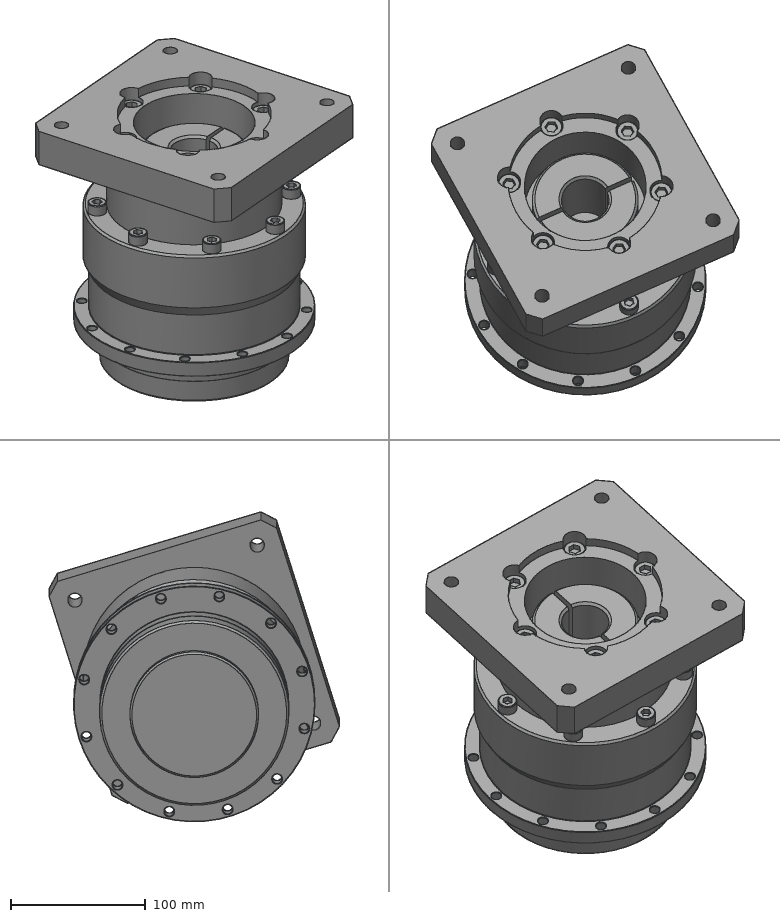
import cadquery as cq

total_height = 211.0
plate_thickness = 28.0
plate_bottom = total_height - plate_thickness
body_top = 135.7
body_bottom = 92.0
sleeve_top = 83.8
flange_top = 49.8
flange_bottom = 38.0
pilot_joint = 23.5
pilot_bottom = 6.0

neck_diameter = 130.0
body_diameter = 165.0
sleeve_diameter = 156.5
flange_diameter = 179.0
pilot_upper_diameter = 139.9
pilot_lower_diameter = 140.3
output_diameter = 95.4
body_chamfer = 1.7
pilot_chamfer = 1.7
output_chamfer = 1.5
flange_edge_chamfer = 0.5
flange_root_height = 0.6
flange_root_width = 0.2

plate_width = 176.5
plate_corner_chamfer = 9.3
plate_hole_spacing = 141.4
plate_hole_diameter = 10.5

recess_diameter = 114.2
recess_depth = 7.4
bore_diameter = 90.0
hub_diameter = 78.5
hub_top = 182.7
hub_chamfer = 2.0
hub_gap_floor = 164.5
shaft_hole_diameter = 35.0
shaft_hole_chamfer = 2.0
shaft_hole_floor = 126.5
clamp_slot_width = 3.2
clamp_slot_floor = 147.7

plate_screw_count = 6
plate_screw_circle = 113.0
counterbore_diameter = 17.0
counterbore_floor = 192.0
plate_screw_head_top = 201.0
plate_screw_head_diameter = 16.5
plate_screw_socket = 9.3
plate_screw_socket_depth = 4.2
plate_screw_socket_turn = 0

body_screw_count = 8
body_screw_circle = 146.2
body_screw_head_diameter = 14.0
body_screw_head_height = 8.2
body_screw_socket = 7.4
body_screw_socket_depth = 4.2
body_screw_socket_turn = 45

head_chamfer = 0.6
hexagon_sides = 6

flange_hole_count = 12
flange_hole_circle = 167.3
flange_hole_diameter = 7.2


def disc(diameter, bottom, top):
    """Vertical cylinder on the main axis."""
    return cq.Workplane("XY").workplane(offset=bottom).circle(diameter / 2).extrude(top - bottom)


def cone(bottom_diameter, top_diameter, bottom, top):
    """Truncated cone on the main axis."""
    return (
        cq.Workplane("XY")
        .workplane(offset=bottom)
        .circle(bottom_diameter / 2)
        .workplane(offset=top - bottom)
        .circle(top_diameter / 2)
        .loft()
    )


def cylinder_ring(circle_diameter, count, diameter, bottom, top):
    """Equally spaced vertical cylinders, the first one on +X."""
    return (
        cq.Workplane("XY")
        .workplane(offset=bottom)
        .polarArray(circle_diameter / 2, 0, 360, count)
        .circle(diameter / 2)
        .extrude(top - bottom)
    )


def screw_heads(circle_diameter, count, diameter, bottom, top, socket, socket_depth, socket_turn):
    """Ring of cap screw heads with a chamfered rim and a hexagon socket.

    The socket size is measured across its corners.
    The socket is turned by socket_turn degrees from pointing a corner outward.
    """
    heads = cylinder_ring(circle_diameter, count, diameter, bottom, top)
    heads = heads.faces(">Z").edges().chamfer(head_chamfer)
    socket_cut = (
        cq.Workplane("XY")
        .workplane(offset=top - socket_depth)
        .polygon(hexagon_sides, socket)
        .extrude(socket_depth)
        .rotate((0, 0, 0), (0, 0, 1), socket_turn)
        .translate((circle_diameter / 2, 0, 0))
    )
    for index in range(count):
        heads = heads.cut(socket_cut.rotate((0, 0, 0), (0, 0, 1), index * 360 / count))
    return heads


def flange():
    """Mounting flange with through holes and every edge lightly broken."""
    plain = disc(flange_diameter, flange_bottom, flange_top)
    holes = cylinder_ring(
        flange_hole_circle, flange_hole_count, flange_hole_diameter, flange_bottom, flange_top
    )
    return plain.cut(holes).faces("<Z or >Z").edges().chamfer(flange_edge_chamfer)


def root_diameter(diameter):
    """Diameter where the small root cone of a section meets the flange."""
    return diameter + 2 * flange_root_width


def turned_housing():
    """Stack of round sections below the motor plate."""
    taper = cone(sleeve_diameter, body_diameter, sleeve_top, body_bottom)
    body = disc(body_diameter, body_bottom, body_top).faces(">Z").chamfer(body_chamfer)
    pilot = disc(pilot_lower_diameter, pilot_bottom, pilot_joint).faces("<Z").chamfer(pilot_chamfer)
    output = disc(output_diameter, 0, pilot_bottom).faces("<Z").chamfer(output_chamfer)
    sleeve_root = cone(
        root_diameter(sleeve_diameter),
        sleeve_diameter,
        flange_top,
        flange_top + flange_root_height,
    )
    pilot_root = cone(
        pilot_upper_diameter,
        root_diameter(pilot_upper_diameter),
        flange_bottom - flange_root_height,
        flange_bottom,
    )
    return (
        output.union(pilot)
        .union(disc(pilot_upper_diameter, pilot_joint, flange_bottom))
        .union(flange())
        .union(disc(sleeve_diameter, flange_top, sleeve_top))
        .union(taper)
        .union(body)
        .union(disc(neck_diameter, body_top, plate_bottom))
        .union(sleeve_root)
        .union(pilot_root)
    )


def motor_plate():
    """Square plate with cut corners and four through holes."""
    return (
        cq.Workplane("XY")
        .workplane(offset=plate_bottom)
        .rect(plate_width, plate_width)
        .extrude(plate_thickness)
        .edges("|Z")
        .chamfer(plate_corner_chamfer)
        .faces(">Z")
        .workplane()
        .rect(plate_hole_spacing, plate_hole_spacing, forConstruction=True)
        .vertices()
        .hole(plate_hole_diameter)
    )


def clamping_hub():
    """Solid blank of the hub that grips the motor shaft, standing free inside the bore."""
    return disc(hub_diameter, hub_gap_floor, hub_top).faces(">Z").chamfer(hub_chamfer)


def shaft_hole():
    """Blind shaft hole with a chamfered mouth and a slot across the hub."""
    hole = disc(shaft_hole_diameter, shaft_hole_floor, hub_top)
    mouth_diameter = shaft_hole_diameter + 2 * shaft_hole_chamfer
    mouth = cone(shaft_hole_diameter, mouth_diameter, hub_top - shaft_hole_chamfer, hub_top)
    slot = (
        cq.Workplane("XY")
        .workplane(offset=clamp_slot_floor)
        .rect(clamp_slot_width, hub_diameter)
        .extrude(hub_top - clamp_slot_floor)
    )
    return hole.union(mouth).union(slot)


result = turned_housing().union(motor_plate())
result = result.cut(disc(recess_diameter, total_height - recess_depth, total_height))
result = result.cut(disc(bore_diameter, hub_gap_floor, total_height))
result = result.union(clamping_hub()).cut(shaft_hole())

counterbores = cylinder_ring(
    plate_screw_circle, plate_screw_count, counterbore_diameter, counterbore_floor, total_height
)
result = result.cut(counterbores)
result = result.union(
    screw_heads(
        plate_screw_circle,
        plate_screw_count,
        plate_screw_head_diameter,
        counterbore_floor,
        plate_screw_head_top,
        plate_screw_socket,
        plate_screw_socket_depth,
        plate_screw_socket_turn,
    )
)

result = result.union(
    screw_heads(
        body_screw_circle,
        body_screw_count,
        body_screw_head_diameter,
        body_top,
        body_top + body_screw_head_height,
        body_screw_socket,
        body_screw_socket_depth,
        body_screw_socket_turn,
    )
)